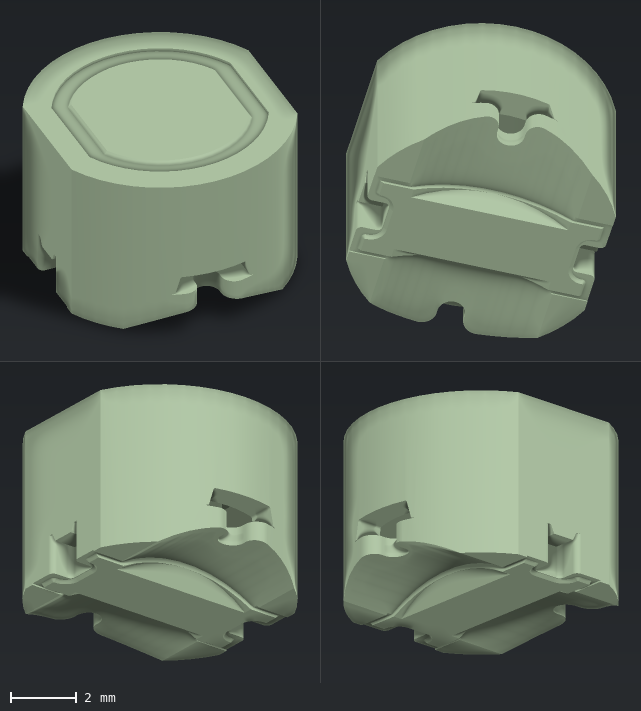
import cadquery as cq
import math

BODY_DIAMETER = 8.36
BODY_WIDTH = 7.5
TOP_Z = 5.36
HOUSING_BOTTOM_Z = 0.05

BORE_DIAMETER = 6.62
BORE_WIDTH = 5.95
FLOOR_TOP_Z = 1.4

TUNNEL_TOP_Z = 0.8
TUNNEL_HALF_WIDTH = 2.64
GROOVE_WIDTH = 3.01

WINDOW_TOP_Z = 2.02
WINDOW_SILL_HALF = 1.37
WINDOW_FLARE_HALF = 1.245
WINDOW_FLARE_HEIGHT = 0.03
WINDOW_TOP_HALF = 1.09
WINDOW_CORNER_RADIUS = 0.07
WINDOW_BACK_X = 2.93

LOBE_RADIUS = 0.42
THROAT_RADIUS = 0.43
THROAT_CENTER_X = -3.54

LEAD_NOTCH_HALF = 0.71
LEAD_LOBE_RADIUS = 0.175
LEAD_BACK_HALF = 0.38
LEAD_NOTCH_DEPTH = 0.75
LIP_Z = 1.12

CORE_DIAMETER = 5.65
CORE_WIDTH = 4.93
CORE_CHAMFER = 0.11
FLANGE_THICKNESS = 1.0
POST_DIAMETER = 2.34

WINDING_DIAMETER = 3.76

BASE_LENGTH = 2.675
PLATE_THICKNESS = 0.1
PLATE_BOTTOM_HALF = 3.43
PLATE_NOTCH_HALF = 0.87
PLATE_NOTCH_DEPTH = 0.56
PLATE_LOBE_RADIUS = 0.025
RELIEF_TOP_Z = 0.635
RELIEF_HALF_WIDTH = 2.47
RELIEF_SLOPE_ANGLE = 26.0

CUT_MARGIN = 0.42
ARC_MIDDLE = math.sqrt(0.5)

FLANGE_TOP_Z = TOP_Z - CORE_CHAMFER
FLANGE_BOTTOM_Z = FLANGE_TOP_Z - FLANGE_THICKNESS


def flatted_disc(diameter, width, bottom_z, top_z):
    """Disc with two parallel flats facing +Y and -Y."""
    height = top_z - bottom_z
    disc = cq.Workplane("XY").circle(diameter / 2).extrude(height)
    slab = cq.Workplane("XY").box(diameter, width, height, centered=(True, True, False))
    return disc.intersect(slab).translate((0, 0, bottom_z))


def arch_prism(half_width, spring_z, crown_z, length):
    """Segment of a cylinder along X, with a flat bottom."""
    return (
        cq.Workplane("YZ")
        .moveTo(-half_width, spring_z)
        .threePointArc((0, crown_z), (half_width, spring_z))
        .close()
        .extrude(length / 2, both=True)
    )


def window_cutter():
    """Trapezoidal window through the -X wall, flared at its sill."""
    flare_z = FLOOR_TOP_Z + WINDOW_FLARE_HEIGHT
    opening = [
        (-WINDOW_SILL_HALF, FLOOR_TOP_Z),
        (WINDOW_SILL_HALF, FLOOR_TOP_Z),
        (WINDOW_FLARE_HALF, flare_z),
        (WINDOW_TOP_HALF, WINDOW_TOP_Z),
        (-WINDOW_TOP_HALF, WINDOW_TOP_Z),
        (-WINDOW_FLARE_HALF, flare_z),
    ]
    length = BODY_DIAMETER / 2 + CUT_MARGIN - WINDOW_BACK_X
    return (
        cq.Workplane("YZ", origin=(-WINDOW_BACK_X, 0, 0))
        .polyline(opening)
        .close()
        .extrude(-length)
        .edges("|X and >Z")
        .fillet(WINDOW_CORNER_RADIUS)
    )


def floor_notch_cutter():
    """Round-ended slot in the -X edge of the floor, its mouth rounded into the outer cylinder."""
    outer_radius = BODY_DIAMETER / 2
    outer_x = -outer_radius - CUT_MARGIN
    center_y = THROAT_RADIUS + LOBE_RADIUS
    center_x = -math.sqrt((outer_radius - LOBE_RADIUS) ** 2 - center_y**2)
    radial_scale = outer_radius / (outer_radius - LOBE_RADIUS)
    mouth_x = center_x * radial_scale
    mouth_y = center_y * radial_scale
    lobe_mid_x = center_x - LOBE_RADIUS * ARC_MIDDLE
    lobe_mid_y = center_y - LOBE_RADIUS * ARC_MIDDLE
    return (
        cq.Workplane("XY")
        .moveTo(outer_x, mouth_y)
        .lineTo(mouth_x, mouth_y)
        .threePointArc((lobe_mid_x, lobe_mid_y), (center_x, THROAT_RADIUS))
        .lineTo(THROAT_CENTER_X, THROAT_RADIUS)
        .threePointArc((THROAT_CENTER_X + THROAT_RADIUS, 0), (THROAT_CENTER_X, -THROAT_RADIUS))
        .lineTo(center_x, -THROAT_RADIUS)
        .threePointArc((lobe_mid_x, -lobe_mid_y), (mouth_x, -mouth_y))
        .lineTo(outer_x, -mouth_y)
        .close()
        .extrude(FLOOR_TOP_Z)
    )


def lead_notch_cutter():
    """Notch in the -Y flat: rounded mouth, straight walls, rounded inner corners, lowered lip."""
    face_y = -BODY_WIDTH / 2
    outer_y = face_y - CUT_MARGIN
    back_y = face_y + LEAD_NOTCH_DEPTH
    wall_x = LEAD_NOTCH_HALF - LEAD_LOBE_RADIUS
    corner_radius = wall_x - LEAD_BACK_HALF
    lobe_bulge = LEAD_LOBE_RADIUS * (1 - ARC_MIDDLE)
    corner_bulge = corner_radius * (1 - ARC_MIDDLE)
    plan = (
        cq.Workplane("XY")
        .moveTo(0, outer_y)
        .lineTo(LEAD_NOTCH_HALF, outer_y)
        .lineTo(LEAD_NOTCH_HALF, face_y)
        .threePointArc((wall_x + lobe_bulge, face_y + lobe_bulge), (wall_x, face_y + LEAD_LOBE_RADIUS))
        .lineTo(wall_x, back_y - corner_radius)
        .threePointArc((wall_x - corner_bulge, back_y - corner_bulge), (LEAD_BACK_HALF, back_y))
        .lineTo(0, back_y)
        .mirrorY()
        .extrude(FLOOR_TOP_Z)
    )
    opening = (
        cq.Workplane("XZ", origin=(0, outer_y, 0))
        .moveTo(0, 0)
        .lineTo(LEAD_NOTCH_HALF, 0)
        .lineTo(LEAD_NOTCH_HALF, FLOOR_TOP_Z)
        .lineTo(wall_x, FLOOR_TOP_Z)
        .spline([(LEAD_BACK_HALF, LIP_Z)], tangents=[(-1, -1), (-1, -1)], includeCurrent=True)
        .lineTo(0, LIP_Z)
        .mirrorY()
        .extrude(-(CUT_MARGIN + LEAD_NOTCH_DEPTH))
    )
    return plan.intersect(opening)


def make_housing():
    """Cup with two flats, open at the top, relieved underneath for the base."""
    housing = flatted_disc(BODY_DIAMETER, BODY_WIDTH, HOUSING_BOTTOM_Z, TOP_Z)
    bore = flatted_disc(BORE_DIAMETER, BORE_WIDTH, FLOOR_TOP_Z, TOP_Z)
    tunnel = arch_prism(TUNNEL_HALF_WIDTH, HOUSING_BOTTOM_Z, TUNNEL_TOP_Z, BODY_DIAMETER)
    groove = cq.Workplane("XY").box(GROOVE_WIDTH, BODY_WIDTH, PLATE_THICKNESS, centered=(True, True, False))
    housing = housing.cut(bore).cut(tunnel).cut(groove)
    for cutter in (window_cutter(), floor_notch_cutter(), lead_notch_cutter()):
        opposite = cutter.rotate((0, 0, 0), (0, 0, 1), 180)
        housing = housing.cut(cutter).cut(opposite)
    return housing


def make_core():
    """Post under a flange that closes the bore, with a chamfered raised face on top."""
    post = cq.Workplane("XY").circle(POST_DIAMETER / 2).extrude(FLANGE_TOP_Z - FLOOR_TOP_Z)
    post = post.translate((0, 0, FLOOR_TOP_Z))
    flange = flatted_disc(BORE_DIAMETER, BORE_WIDTH, FLANGE_BOTTOM_Z, FLANGE_TOP_Z)
    raised_face = flatted_disc(CORE_DIAMETER, CORE_WIDTH, FLANGE_BOTTOM_Z, TOP_Z)
    raised_face = raised_face.faces(">Z").chamfer(CORE_CHAMFER)
    return post.union(flange).union(raised_face)


def make_winding():
    """Coil around the core post, between the housing floor and the flange."""
    return (
        cq.Workplane("XY", origin=(0, 0, FLOOR_TOP_Z))
        .circle(WINDING_DIAMETER / 2)
        .circle(POST_DIAMETER / 2)
        .extrude(FLANGE_BOTTOM_Z - FLOOR_TOP_Z)
    )


def plate_notch_outline(workplane, grow):
    """Outline of the notch in the -Y end of a plate whose edge is moved outward by `grow`."""
    end_y = -PLATE_BOTTOM_HALF - grow
    back_y = end_y + PLATE_NOTCH_DEPTH
    wall_x = PLATE_NOTCH_HALF - grow
    lobe = PLATE_LOBE_RADIUS + grow
    corner = wall_x - LEAD_BACK_HALF
    lobe_bulge = lobe * (1 - ARC_MIDDLE)
    corner_bulge = corner * (1 - ARC_MIDDLE)
    return (
        workplane.moveTo(-wall_x - lobe, end_y)
        .threePointArc((-wall_x - lobe_bulge, end_y + lobe_bulge), (-wall_x, end_y + lobe))
        .lineTo(-wall_x, back_y - corner)
        .threePointArc((-wall_x + corner_bulge, back_y - corner_bulge), (-wall_x + corner, back_y))
        .lineTo(wall_x - corner, back_y)
        .threePointArc((wall_x - corner_bulge, back_y - corner_bulge), (wall_x, back_y - corner))
        .lineTo(wall_x, end_y + lobe)
        .threePointArc((wall_x + lobe_bulge, end_y + lobe_bulge), (wall_x + lobe, end_y))
        .close()
    )


def make_base():
    """Notched bottom plate with 45-degree ends, under an arched block that fills the tunnel."""
    top_half = PLATE_BOTTOM_HALF + PLATE_THICKNESS
    plate = (
        cq.Workplane("YZ")
        .polyline([
            (-PLATE_BOTTOM_HALF, 0),
            (PLATE_BOTTOM_HALF, 0),
            (top_half, PLATE_THICKNESS),
            (-top_half, PLATE_THICKNESS),
        ])
        .close()
        .extrude(BASE_LENGTH / 2, both=True)
    )
    lower_outline = plate_notch_outline(cq.Workplane("XY"), 0)
    notch = plate_notch_outline(lower_outline.workplane(offset=PLATE_THICKNESS), PLATE_THICKNESS)
    notch = notch.loft(ruled=True)
    plate = plate.cut(notch).cut(notch.rotate((0, 0, 0), (0, 0, 1), 180))

    block = arch_prism(TUNNEL_HALF_WIDTH, HOUSING_BOTTOM_Z, TUNNEL_TOP_Z, BASE_LENGTH)
    base = plate.union(block)

    side_x = BASE_LENGTH / 2
    lean = RELIEF_TOP_Z * math.tan(math.radians(RELIEF_SLOPE_ANGLE))
    arch = arch_prism(RELIEF_HALF_WIDTH, 0, RELIEF_TOP_Z, BASE_LENGTH)
    wedge = (
        cq.Workplane("XZ")
        .polyline([(-side_x, 0), (-side_x + lean, 0), (-side_x, RELIEF_TOP_Z)])
        .close()
        .extrude(RELIEF_HALF_WIDTH, both=True)
    )
    relief = arch.intersect(wedge)
    return base.cut(relief).cut(relief.rotate((0, 0, 0), (0, 0, 1), 180))


housing = make_housing()
core = make_core()
winding = make_winding()
base = make_base()

result = cq.Compound.makeCompound([housing.val(), core.val(), winding.val(), base.val()])